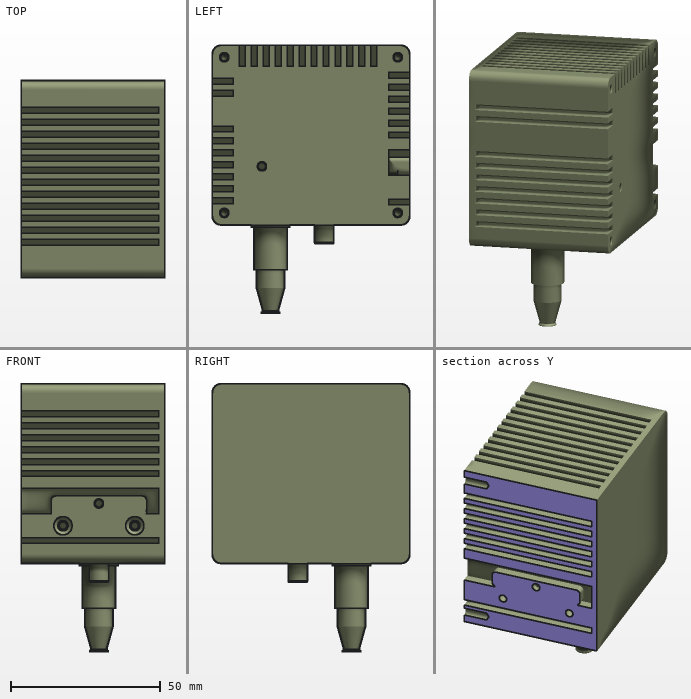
import cadquery as cq
import math


length_x = 48.0
width_y = 66.0
total_height = 89.5
plug_drop = 29.45
height_z = total_height - plug_drop
edge_radius = 3.0
left = -length_x / 2
front = -width_y / 2
back = width_y / 2

axis_x = left + 25.95

slot_width = 2.0
slot_depth = 7.0
slot_length = 45.9
top_slot_count = 12
top_row_span = 43.9
slot_pitch = top_row_span / (top_slot_count - 1)
top_first_inset = 10.0
front_first_drop = 10.0
front_slot_count = 6
front_low_drop = 52.4
back_first_drop = 12.0
back_slot_steps = [0, 1, 4, 5, 6, 7, 8, 9, 10]

window_top = height_z - 34.9
window_floor = height_z - 43.4
island_top = height_z - 37.5
island_width = 31.9
island_radius = 1.4
undercut_depth = 2.95

corner_inset = 4.0
corner_hole_depth = 8.05
drill_point_angle = 118
side_hole_y = 16.4
side_hole_z = 19.6
front_hole_z = height_z - 40.0
small_hole_diameter = 2.5
small_hole_depth = 6.0
small_hole_chamfer = 0.3
screw_spacing = 24.0
screw_z = height_z - 47.4
screw_seat_diameter = 3.4
screw_hole_diameter = 2.5
screw_head_diameter = 6.1
screw_head_angle = 90
screw_hole_depth = 7.0

plug_y = 13.5
flange_diameter = 13.0
flange_bottom = 0.8
barrel_diameter = 11.2
barrel_bottom = 14.95
sleeve_diameter = 9.5
sleeve_bottom = 20.9
cone_end_diameter = 5.2
cone_bottom = 28.6
lip_diameter = 6.1
lip_flare_bottom = 29.2

connector_y = -4.4
connector_diameter = 6.5
connector_length = 6.3
connector_chamfer_height = 0.5
connector_chamfer_width = 0.3


def block(x_range, y_range, z_range):
    """Box between two limits on each axis."""
    (x0, x1), (y0, y1), (z0, z1) = x_range, y_range, z_range
    return cq.Workplane("XY").box(x1 - x0, y1 - y0, z1 - z0, centered=False).translate((x0, y0, z0))


def make_housing():
    housing = cq.Workplane("XY").box(length_x, width_y, height_z, centered=(True, True, False))
    return housing.edges("|X").fillet(edge_radius)


def cut_slots(body):
    x_range = (left, left + slot_length)
    half = slot_width / 2
    for i in range(top_slot_count):
        y = back - top_first_inset - i * slot_pitch
        body = body.cut(block(x_range, (y - half, y + half), (height_z - slot_depth, height_z)))

    front_drops = [front_first_drop + i * slot_pitch for i in range(front_slot_count)]
    back_drops = [back_first_drop + step * slot_pitch for step in back_slot_steps]
    front_rows = [(drop, front, front + slot_depth) for drop in front_drops + [front_low_drop]]
    back_rows = [(drop, back - slot_depth, back) for drop in back_drops]
    for drop, y0, y1 in front_rows + back_rows:
        z = height_z - drop
        body = body.cut(block(x_range, (y0, y1), (z - half, z + half)))
    return body


def cut_window(body):
    """Front window that leaves an island standing on its floor, flush with the front face."""
    inner = front + slot_depth
    step = inner - undercut_depth
    x_range = (axis_x - island_width / 2, axis_x + island_width / 2)
    z_range = (window_floor, island_top)
    window = block((left, left + slot_length), (front, inner), (window_floor, window_top))
    island_front = block(x_range, (front, step), z_range).edges("|Y and >Z").fillet(island_radius)
    island_rear = block(x_range, (step, inner), z_range).edges("|Y").fillet(island_radius)
    return body.cut(window.cut(island_front).cut(island_rear))


def revolve_about_z(profile):
    """Solid of revolution about Z from (radius, height) points."""
    return cq.Workplane("XZ").polyline([(0, 0)] + profile).close().revolve(360, (0, 0, 0), (0, 1, 0))


def into_x(cutter, y, z):
    """Turn a cutter to run along +X from the -X face."""
    return cutter.rotate((0, 0, 0), (0, 1, 0), 90).translate((left, y, z))


def into_y(cutter, x, z):
    """Turn a cutter to run along +Y from the front face."""
    return cutter.rotate((0, 0, 0), (1, 0, 0), -90).translate((x, front, z))


def drilled_cutter():
    """Hole with a chamfered mouth, ending in a drill point."""
    r = small_hole_diameter / 2
    mouth = r + small_hole_chamfer
    tip = corner_hole_depth + r / math.tan(math.radians(drill_point_angle / 2))
    return revolve_about_z([(mouth, 0), (r, small_hole_chamfer), (r, corner_hole_depth), (0, tip)])


def small_cutter():
    """Flat-bottomed hole with a chamfered mouth."""
    r = small_hole_diameter / 2
    mouth = r + small_hole_chamfer
    floor = small_hole_depth
    return revolve_about_z([(mouth, 0), (r, small_hole_chamfer), (r, floor), (0, floor)])


def countersunk_cutter():
    """Flat-bottomed screw hole with a conical head seat and a narrow ledge below it."""
    r = screw_hole_diameter / 2
    head = screw_head_diameter / 2
    seat = screw_seat_diameter / 2
    seat_depth = (head - seat) / math.tan(math.radians(screw_head_angle / 2))
    head_points = [(head, 0), (seat, seat_depth)]
    shank_points = [(r, seat_depth), (r, screw_hole_depth), (0, screw_hole_depth)]
    return revolve_about_z(head_points + shank_points)


def cut_holes(body):
    for y in (front + corner_inset, back - corner_inset):
        for z in (corner_inset, height_z - corner_inset):
            body = body.cut(into_x(drilled_cutter(), y, z))
    body = body.cut(into_x(small_cutter(), side_hole_y, side_hole_z))
    body = body.cut(into_y(small_cutter(), axis_x, front_hole_z))
    for side in (-1, 1):
        body = body.cut(into_y(countersunk_cutter(), axis_x + side * screw_spacing / 2, screw_z))
    return body


def make_plug():
    """Stepped plug tapering down to a lipped cable end."""
    profile = [
        (flange_diameter / 2, 0),
        (flange_diameter / 2, -flange_bottom),
        (barrel_diameter / 2, -flange_bottom),
        (barrel_diameter / 2, -barrel_bottom),
        (sleeve_diameter / 2, -barrel_bottom),
        (sleeve_diameter / 2, -sleeve_bottom),
        (cone_end_diameter / 2, -cone_bottom),
        (lip_diameter / 2, -lip_flare_bottom),
        (lip_diameter / 2, -plug_drop),
        (0, -plug_drop),
    ]
    return revolve_about_z(profile).translate((axis_x, plug_y, 0))


def make_connector():
    connector = cq.Workplane("XY").circle(connector_diameter / 2).extrude(-connector_length)
    connector = connector.faces("<Z").chamfer(connector_chamfer_height, connector_chamfer_width)
    return connector.translate((axis_x, connector_y, 0))


housing = cut_holes(cut_window(cut_slots(make_housing())))
result = housing.union(make_plug()).union(make_connector())